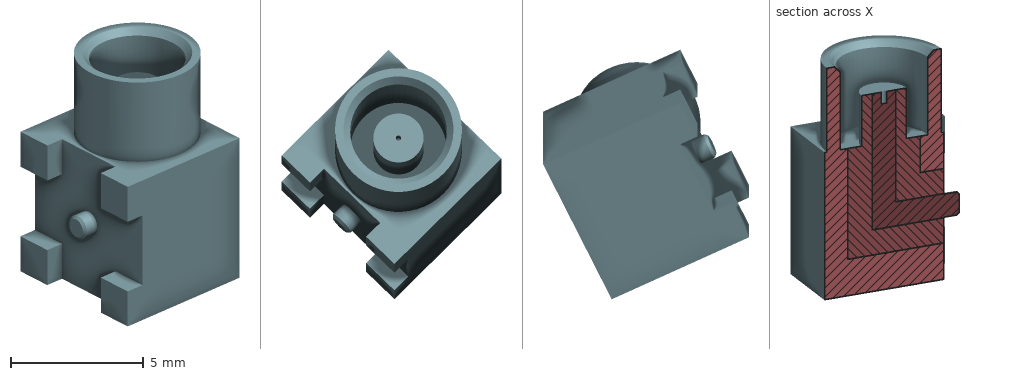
import cadquery as cq

BLOCK_SIDE = 6.0
BLOCK_DEPTH = 5.0
FOOT_SIDE = 1.5
FOOT_HEIGHT = 0.75
TOTAL_HEIGHT = 9.4

TUBE_DIAMETER = 4.8
BORE_DIAMETER = 3.66
MOUTH_CHAMFER = 0.25

INSULATOR_DIAMETER = BLOCK_SIDE / 2
BOSS_DIAMETER = 1.9
BOSS_RECESS = 1.35

CONTACT_DIAMETER = 0.96
CONTACT_PROTRUSION = 0.65
CONTACT_CHAMFER = 0.1
CONTACT_HOLE_DIAMETER = 0.2
CONTACT_HOLE_DEPTH = 0.47

FRONT_Y = -BLOCK_DEPTH / 2
PIN_AXIS_Z = BLOCK_SIDE / 2
BOSS_TOP_Z = TOTAL_HEIGHT - BOSS_RECESS


def upright_cylinder(diameter, bottom_z, top_z):
    """Cylinder on the socket axis."""
    return cq.Workplane("XY", origin=(0, 0, bottom_z)).circle(diameter / 2).extrude(top_z - bottom_z)


def elbow(diameter, top_z, front_y):
    """Round bar with a mitred right-angle bend, from the socket down and out to the front."""
    path = cq.Workplane("YZ").moveTo(0, top_z).lineTo(0, PIN_AXIS_Z).lineTo(front_y, PIN_AXIS_Z)
    profile = cq.Workplane("XY", origin=(0, 0, top_z)).circle(diameter / 2)
    return profile.sweep(path, transition="right")


def make_feet():
    """Four square feet standing out from the corners of the front face."""
    spacing = BLOCK_SIDE - FOOT_SIDE
    return (
        cq.Workplane("XZ", origin=(0, FRONT_Y, PIN_AXIS_Z))
        .rarray(spacing, spacing, 2, 2)
        .rect(FOOT_SIDE, FOOT_SIDE)
        .extrude(FOOT_HEIGHT)
    )


def make_housing(insulator_elbow):
    """Footed block with a chamfered socket tube, hollowed for the insulator."""
    block = cq.Workplane("XY").box(BLOCK_SIDE, BLOCK_DEPTH, BLOCK_SIDE, centered=(True, True, False))
    tube = upright_cylinder(TUBE_DIAMETER, BLOCK_SIDE, TOTAL_HEIGHT)
    bore = upright_cylinder(BORE_DIAMETER, BLOCK_SIDE, TOTAL_HEIGHT)
    tube = tube.cut(bore)
    mouth_edge = tube.faces(">Z").edges(cq.selectors.RadiusNthSelector(0))
    tube = mouth_edge.chamfer(MOUTH_CHAMFER)
    return block.union(make_feet()).union(tube).cut(insulator_elbow)


def make_insulator(insulator_elbow, contact_elbow):
    """Bent insulator with a narrower boss in the socket, bored for the contact."""
    boss = upright_cylinder(BOSS_DIAMETER, BLOCK_SIDE, BOSS_TOP_Z)
    return insulator_elbow.union(boss).cut(contact_elbow)


def make_contact(contact_elbow):
    """Bent contact with a small axial hole on top and a chamfered front tip."""
    hole = upright_cylinder(CONTACT_HOLE_DIAMETER, BOSS_TOP_Z - CONTACT_HOLE_DEPTH, BOSS_TOP_Z)
    return contact_elbow.faces("<Y").edges().chamfer(CONTACT_CHAMFER).cut(hole)


insulator_elbow = elbow(INSULATOR_DIAMETER, BLOCK_SIDE, FRONT_Y)
contact_elbow = elbow(CONTACT_DIAMETER, BOSS_TOP_Z, FRONT_Y - CONTACT_PROTRUSION)

housing = make_housing(insulator_elbow)
insulator = make_insulator(insulator_elbow, contact_elbow)
contact = make_contact(contact_elbow)

result = cq.Compound.makeCompound([housing.solids().val(), insulator.solids().val(), contact.solids().val()])